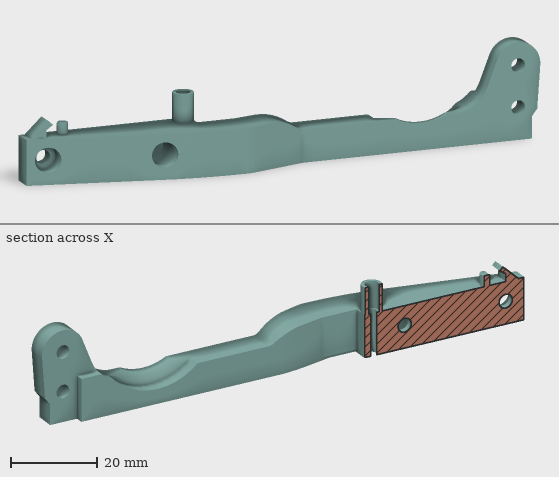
import cadquery as cq
import math

length = 126.5
lug_height = 11.0
arm_height = 8.0
total_height = 23.5

arm_left = 3.0
ear_left = 5.0
arm_right = 10.0
total_width = 14.0

post_diameter = 5.0
post_bore = 2.5
post_mouth = 3.4
lug_corner_radius = 2.0
post_x = post_diameter / 2
post_y = 40.1
post_rear = post_y + post_diameter / 2
post_top = 18.0

pin_diameter = 2.7
pin_y = 9.9
pin_top = 13.8
pin_bevel = 0.8

cross_hole = 3.4
lug_hole_ys = (4.9, 31.9)
lug_hole_z = 6.0
screw_head_diameter = 6.1
screw_seat_x = 3.0

neck_wall_end = 51.9
neck_bend_front = 57.2
neck_bend_rear = 63.2
neck_bend_x = 3.9
undercut_depth = 0.5
undercut_height = 0.8
undercut_end = 50.0

taper_end = (12.5, 34.5)
bulge_middle = (13.7, 43.1)
bulge_end = (total_width, 51.9)
flare_front = (13.8, 53.5)
flare_rear_y = 67.0

ramp_front = 57.5
ramp_rear = 67.3
ramp_foot_radius = 2.7

ear_radius = 5.6
ear_y = length - ear_radius
ear_z = total_height - ear_radius
ear_front_tilt = math.radians(21.5)
ear_rear_tilt = math.radians(4.2)
ear_root_radius = 8.6
ear_hole_zs = (7.8, ear_z)
ear_rear_bottom_z = 7.1
heel_y = 124.3
heel_z = 5.3
shelf_rear = 117.1

saddle_y = 96.9
saddle_z = 19.7
saddle_wide_radius = 16.0
saddle_narrow_radius = 13.3
saddle_cone_left = 6.6
saddle_cone_right = 8.3

hook_foot_y = 1.5
hook_tip = (5.7, 14.9)
hook_lip = (6.6, 14.0)
hook_throat = (4.9, 12.9)


def plan_body():
    """Outline seen from above, raised to the full height."""
    outline = (
        cq.Workplane("XY")
        .lineTo(0, post_rear - lug_corner_radius)
        .tangentArcPoint((lug_corner_radius, post_rear), relative=False)
        .lineTo(ear_left, post_rear)
        .lineTo(ear_left, neck_wall_end)
        .lineTo(neck_bend_x, neck_bend_front)
        .tangentArcPoint((arm_left, neck_bend_rear), relative=False)
        .lineTo(arm_left, shelf_rear)
        .lineTo(ear_left, shelf_rear)
        .lineTo(ear_left, length)
        .lineTo(arm_right, length)
        .lineTo(arm_right, flare_rear_y)
        .lineTo(*flare_front)
        .lineTo(*bulge_end)
        .threePointArc(bulge_middle, taper_end)
        .lineTo(ear_left, 0)
        .close()
    )
    return outline.extrude(total_height)


def side_body():
    """Outline seen from the side (Y, Z), spread over the full width."""
    ramp_run = ramp_rear - ramp_front
    ramp_angle = 2 * math.atan((lug_height - arm_height) / ramp_run)
    crest_radius = ramp_run / math.sin(ramp_angle) - ramp_foot_radius
    ramp_join = (
        ramp_rear - ramp_foot_radius * math.sin(ramp_angle),
        arm_height + ramp_foot_radius * (1 - math.cos(ramp_angle)),
    )
    crest_middle = (
        ramp_front + crest_radius * math.sin(ramp_angle / 2),
        lug_height - crest_radius * (1 - math.cos(ramp_angle / 2)),
    )

    ear_front = (
        ear_y - ear_radius * math.cos(ear_front_tilt),
        ear_z + ear_radius * math.sin(ear_front_tilt),
    )
    root_top_z = arm_height + ear_root_radius * (1 - math.sin(ear_front_tilt))
    root_top_y = ear_front[0] - (ear_front[1] - root_top_z) * math.tan(ear_front_tilt)
    root_end_y = root_top_y - ear_root_radius * math.cos(ear_front_tilt)

    ear_rear = (
        ear_y + ear_radius * math.cos(ear_rear_tilt),
        ear_z - ear_radius * math.sin(ear_rear_tilt),
    )
    ear_rear_bottom_y = ear_rear[0] - (ear_rear[1] - ear_rear_bottom_z) * math.tan(ear_rear_tilt)

    outline = (
        cq.Workplane("YZ")
        .lineTo(0, lug_height)
        .lineTo(ramp_front, lug_height)
        .threePointArc(crest_middle, ramp_join)
        .tangentArcPoint((ramp_rear, arm_height), relative=False)
        .lineTo(root_end_y, arm_height)
        .tangentArcPoint((root_top_y, root_top_z), relative=False)
        .lineTo(*ear_front)
        .threePointArc((ear_y, total_height), ear_rear)
        .lineTo(ear_rear_bottom_y, ear_rear_bottom_z)
        .lineTo(heel_y, heel_z)
        .lineTo(heel_y, 0)
        .close()
    )
    return outline.extrude(total_width)


def ear_shelf_cut():
    """Clears everything left of the ear above the shelf, which is level with the lug top."""
    return (
        cq.Workplane("XY")
        .box(ear_left, length, total_height - lug_height, centered=False)
        .translate((0, 0, lug_height))
    )


def saddle_cut():
    """Round cutter along X: wide cylinder, cone, narrow cylinder."""
    return (
        cq.Workplane("XY")
        .lineTo(0, saddle_wide_radius)
        .lineTo(saddle_cone_left, saddle_wide_radius)
        .lineTo(saddle_cone_right, saddle_narrow_radius)
        .lineTo(total_width, saddle_narrow_radius)
        .lineTo(total_width, 0)
        .close()
        .revolve(360, (0, 0, 0), (1, 0, 0))
        .translate((0, saddle_y, saddle_z))
    )


def undercut():
    """Shallow relief along the bottom edge of the wall behind the post."""
    return (
        cq.Workplane("XY")
        .moveTo(ear_left, post_rear)
        .lineTo(ear_left, neck_wall_end)
        .lineTo(ear_left + undercut_depth, undercut_end)
        .lineTo(ear_left + undercut_depth, post_rear)
        .close()
        .extrude(undercut_height)
    )


def cross_holes(positions):
    """Holes along X through the full width at the given (Y, Z) positions."""
    return cq.Workplane("YZ").pushPoints(positions).circle(cross_hole / 2).extrude(total_width)


def screw_head_recesses(positions):
    """Counterbores from the right face down to a common seat plane."""
    return (
        cq.Workplane("YZ", origin=(screw_seat_x, 0, 0))
        .pushPoints(positions)
        .circle(screw_head_diameter / 2)
        .extrude(total_width - screw_seat_x)
    )


def hook():
    """Barbed catch at the front end, as wide as the lug's front face."""
    outline = [
        (hook_foot_y, 0),
        (hook_foot_y, lug_height),
        hook_tip,
        hook_lip,
        hook_throat,
        (hook_throat[0], 0),
    ]
    return cq.Workplane("YZ").polyline(outline).close().extrude(ear_left)


def post():
    """Round post rising from the bottom face to above the lug."""
    return cq.Workplane("XY").center(post_x, post_y).circle(post_diameter / 2).extrude(post_top)


def post_hole():
    """Bore through the lug, wider inside the post above it."""
    bore = cq.Workplane("XY").center(post_x, post_y).circle(post_bore / 2).extrude(post_top)
    mouth = (
        cq.Workplane("XY", origin=(post_x, post_y, post_top))
        .circle(post_mouth / 2)
        .extrude(lug_height - post_top)
    )
    return bore.union(mouth)


def pin():
    """Small round pin with its front top edge bevelled flat."""
    front = pin_y - pin_diameter / 2
    bevel = (
        cq.Workplane("YZ")
        .polyline([
            (front, pin_top - pin_bevel),
            (front, pin_top),
            (front + pin_bevel, pin_top),
        ])
        .close()
        .extrude(ear_left)
    )
    shaft = cq.Workplane("XY").center(post_x, pin_y).circle(pin_diameter / 2).extrude(pin_top)
    return shaft.cut(bevel)


body = plan_body().intersect(side_body())
body = body.cut(ear_shelf_cut()).cut(saddle_cut()).cut(undercut())
body = body.union(hook()).union(post()).union(pin())
body = body.cut(post_hole())
lug_holes = [(y, lug_hole_z) for y in lug_hole_ys]
ear_holes = [(ear_y, z) for z in ear_hole_zs]
body = body.cut(cross_holes(lug_holes + ear_holes))
result = body.cut(screw_head_recesses(lug_holes))